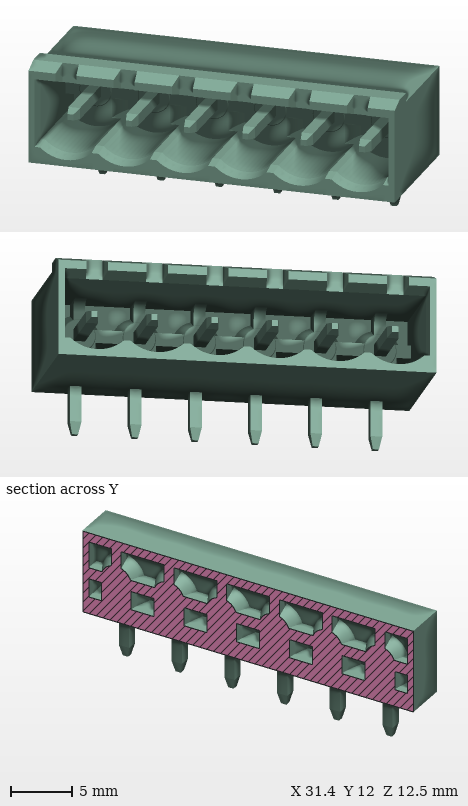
import cadquery as cq
import math


LENGTH = 31.4
DEPTH = 12.0
TOTAL_HEIGHT = 12.5
LEG_LENGTH = 4.02
LIP_TOP = TOTAL_HEIGHT - LEG_LENGTH
LIP_STEP = 0.75
LIP_DEPTH = 3.0
LIP_BEVEL_DROP = 0.5

PIN_COUNT = 6
END_MARGIN = 3.2
PIN_PITCH = (LENGTH - 2 * END_MARGIN) / (PIN_COUNT - 1)
PIN_SIZE = 0.97
PIN_TIP_SIZE = 0.5
PIN_TAPER = 1.05
PIN_HEIGHT = 3.85
PIN_TIP_Y = 1.22
LEG_TO_REAR = 2.0
LEG_Y = DEPTH - LEG_TO_REAR

LEAD_IN = 1.32
MOUTH_WALL = 0.53
CAVITY_WALL = 0.63
MOUTH_FLOOR = 1.4
CAVITY_FLOOR = 1.63
MOUTH_CEILING = 7.3
CAVITY_CEILING = 6.8
CAVITY_DEPTH = 9.42
MOUTH_LOBE_RADIUS = 3.3
LOBE_RADIUS = 3.1

SLOT_FRONT_WIDTH = 1.8
SLOT_REAR_WIDTH = 1.38

RELIEF = 1.45
POCKET_DEPTH = 2.3
DISC_RADIUS = 1.32
DISC_RISE = 0.05
BOSS_RADIUS = DISC_RADIUS + DISC_RISE
BOSS_BASE_RADIUS = 2.05
PEDESTAL_SIDE_RADIUS = 8.48
BAR_HEIGHT = 1.1
RIB_BEND = CAVITY_CEILING - PIN_HEIGHT - BOSS_BASE_RADIUS

RELIEF_Y = CAVITY_DEPTH - RELIEF
POCKET_Y = RELIEF_Y + POCKET_DEPTH
DISC_Y = RELIEF_Y - DISC_RISE
BAR_BOTTOM = PIN_HEIGHT - BAR_HEIGHT / 2
INNER_LENGTH = LENGTH - 2 * CAVITY_WALL
PIN_XS = [(i - (PIN_COUNT - 1) / 2) * PIN_PITCH for i in range(PIN_COUNT)]
FORWARD = cq.Vector(0, -1, 0)
REARWARD = cq.Vector(0, 1, 0)


def box(width, y_range, z_range, x=0.0):
    """Box centred on x, spanning the given Y and Z ranges."""
    y0, y1 = y_range
    z0, z1 = z_range
    return cq.Workplane("XY").box(width, y1 - y0, z1 - z0).translate((x, (y0 + y1) / 2, (z0 + z1) / 2))


def tapered_square(size, tip_size, length):
    """Square frustum rising along Z from the origin."""
    return cq.Workplane("XY").rect(size, size).workplane(offset=length).rect(tip_size, tip_size).loft()


def housing():
    """Solid block with a raised, bevelled lip along its top front edge."""
    outline = [
        (0, 0),
        (DEPTH, 0),
        (DEPTH, LIP_TOP - LIP_STEP),
        (LIP_DEPTH, LIP_TOP - LIP_STEP),
        (LIP_DEPTH, LIP_TOP),
        (LEAD_IN, LIP_TOP),
        (0, LIP_TOP - LIP_BEVEL_DROP),
    ]
    return cq.Workplane("YZ").polyline(outline).close().extrude(LENGTH / 2, both=True)


def cavity():
    """Rectangular chamber that widens towards the mouth."""
    mouth_middle = (MOUTH_FLOOR + MOUTH_CEILING) / 2
    inner_middle = (CAVITY_FLOOR + CAVITY_CEILING) / 2
    lead_in = (
        cq.Workplane("XZ", origin=(0, 0, mouth_middle))
        .rect(LENGTH - 2 * MOUTH_WALL, MOUTH_CEILING - MOUTH_FLOOR)
        .workplane(offset=-LEAD_IN)
        .center(0, inner_middle - mouth_middle)
        .rect(INNER_LENGTH, CAVITY_CEILING - CAVITY_FLOOR)
        .loft()
    )
    chamber = box(INNER_LENGTH, (LEAD_IN, CAVITY_DEPTH), (CAVITY_FLOOR, CAVITY_CEILING))
    return lead_in.union(chamber)


def lobe(x):
    """Round trough below one pin, sunk into the cavity floor."""
    flare = cq.Solid.makeCone(
        MOUTH_LOBE_RADIUS, LOBE_RADIUS, LEAD_IN, cq.Vector(x, 0, PIN_HEIGHT), REARWARD
    )
    trough = cq.Solid.makeCylinder(
        LOBE_RADIUS, RELIEF_Y - LEAD_IN, cq.Vector(x, LEAD_IN, PIN_HEIGHT), REARWARD
    )
    below_floor = box(2 * MOUTH_LOBE_RADIUS, (0, RELIEF_Y), (0, CAVITY_FLOOR), x)
    return cq.Workplane(flare).union(cq.Workplane(trough)).intersect(below_floor)


def keying_slot(x):
    """Flared slot through the lip above one pin."""
    plan = [
        (x - SLOT_FRONT_WIDTH / 2, 0),
        (x + SLOT_FRONT_WIDTH / 2, 0),
        (x + SLOT_REAR_WIDTH / 2, LEAD_IN),
        (x - SLOT_REAR_WIDTH / 2, LEAD_IN),
    ]
    return (
        cq.Workplane("XY", origin=(0, 0, CAVITY_CEILING))
        .polyline(plan)
        .close()
        .extrude(LIP_TOP - CAVITY_CEILING)
    )


def pin_boss(x):
    """Conical boss around one pin, ending in a slightly raised disc."""
    cone = cq.Solid.makeCone(
        BOSS_BASE_RADIUS, DISC_RADIUS, RELIEF + DISC_RISE, cq.Vector(x, CAVITY_DEPTH, PIN_HEIGHT), FORWARD
    )
    upper = box(2 * BOSS_BASE_RADIUS, (DISC_Y, CAVITY_DEPTH), (BAR_BOTTOM, CAVITY_CEILING), x)
    disc = cq.Solid.makeCone(
        BOSS_RADIUS, DISC_RADIUS, DISC_RISE, cq.Vector(x, RELIEF_Y, PIN_HEIGHT), FORWARD
    )
    return cq.Workplane(cone).intersect(upper).union(cq.Workplane(disc))


def pin_pedestal(x):
    """Block below one boss, from the cavity floor up to the bar, with slightly hollow flared sides."""
    return (
        cq.Workplane("XY", origin=(x, 0, CAVITY_FLOOR))
        .moveTo(-BOSS_BASE_RADIUS, POCKET_Y)
        .radiusArc((-BOSS_RADIUS, RELIEF_Y), PEDESTAL_SIDE_RADIUS)
        .lineTo(BOSS_RADIUS, RELIEF_Y)
        .radiusArc((BOSS_BASE_RADIUS, POCKET_Y), PEDESTAL_SIDE_RADIUS)
        .close()
        .extrude(BAR_BOTTOM - CAVITY_FLOOR)
    )


def pin_rib(x):
    """Rib above one boss that curves forward into the cavity ceiling."""
    bend_start = CAVITY_CEILING - RIB_BEND
    bend_inset = RIB_BEND * (1 - math.sqrt(0.5))
    return (
        cq.Workplane("YZ", origin=(x, 0, 0))
        .moveTo(CAVITY_DEPTH, PIN_HEIGHT)
        .lineTo(RELIEF_Y, PIN_HEIGHT)
        .lineTo(RELIEF_Y, bend_start)
        .threePointArc(
            (RELIEF_Y - bend_inset, CAVITY_CEILING - bend_inset),
            (RELIEF_Y - RIB_BEND, CAVITY_CEILING),
        )
        .lineTo(CAVITY_DEPTH, CAVITY_CEILING)
        .close()
        .extrude(PIN_SIZE / 2, both=True)
    )


def pin(x):
    """Contact blade along Y and solder leg below the housing, both with tapered tips."""
    blade_end = PIN_TIP_Y + PIN_TAPER
    leg_end = PIN_TAPER - LEG_LENGTH
    half = PIN_SIZE / 2
    blade = box(PIN_SIZE, (blade_end, LEG_Y + half), (PIN_HEIGHT - half, PIN_HEIGHT + half), x)
    leg = box(PIN_SIZE, (LEG_Y - half, LEG_Y + half), (leg_end, PIN_HEIGHT), x)
    tip = tapered_square(PIN_SIZE, PIN_TIP_SIZE, PIN_TAPER)
    blade_tip = tip.rotate((0, 0, 0), (1, 0, 0), 90).translate((x, blade_end, PIN_HEIGHT))
    leg_tip = tip.rotate((0, 0, 0), (1, 0, 0), 180).translate((x, LEG_Y, leg_end))
    return blade.union(blade_tip).union(leg).union(leg_tip)


result = housing().cut(cavity())
for pin_x in PIN_XS:
    result = result.cut(lobe(pin_x)).cut(keying_slot(pin_x))

result = result.cut(box(INNER_LENGTH, (RELIEF_Y, POCKET_Y), (CAVITY_FLOOR, BAR_BOTTOM)))

result = result.union(
    box(INNER_LENGTH, (RELIEF_Y, CAVITY_DEPTH), (BAR_BOTTOM, BAR_BOTTOM + BAR_HEIGHT))
)
for pin_x in PIN_XS:
    for feature in (pin_boss, pin_pedestal, pin_rib, pin):
        result = result.union(feature(pin_x))